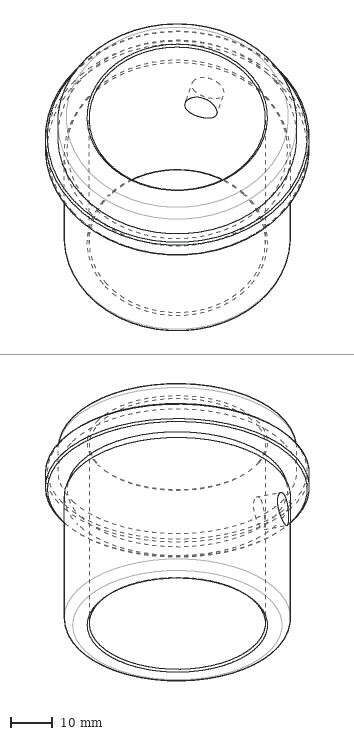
import cadquery as cq
import math

total_height = 51.0
body_height = 38.0
flange_thickness = 5.05

flange_diameter = 63.0
collar_diameter = 57.0
body_diameter = 54.0
bore_diameter = 42.0

edge_radius = 2.0
chamfer = 0.5
relief_depth = 0.7
relief_height = 2.0

side_hole_diameter = 8.0
side_hole_height = 27.0

flange_radius = flange_diameter / 2
collar_radius = collar_diameter / 2
body_radius = body_diameter / 2
bore_radius = bore_diameter / 2
neck_radius = body_radius - relief_depth
flange_top = body_height + flange_thickness
relief_bottom = body_height - relief_height

relief_arc_radius = (relief_height**2 + relief_depth**2) / (2 * relief_depth)
relief_mid_angle = math.asin(relief_height / relief_arc_radius) / 2
relief_mid = (
    neck_radius + relief_arc_radius * (1 - math.cos(relief_mid_angle)),
    body_height - relief_arc_radius * math.sin(relief_mid_angle),
)


def quarter_round_middle(center_r, center_z, z_direction):
    """Midpoint of an outer quarter round; z_direction is +1 upward or -1 downward."""
    offset = edge_radius * math.sqrt(0.5)
    return center_r + offset, center_z + z_direction * offset


def sleeve():
    """Revolve the wall section, with radius along X and height along the sketch's Y."""
    body_round = body_radius - edge_radius
    collar_round = collar_radius - edge_radius
    collar_round_bottom = total_height - edge_radius
    section = (
        cq.Workplane("XZ")
        .moveTo(bore_radius + chamfer, 0)
        .lineTo(body_round, 0)
        .threePointArc(quarter_round_middle(body_round, edge_radius, -1), (body_radius, edge_radius))
        .lineTo(body_radius, relief_bottom)
        .threePointArc(relief_mid, (neck_radius, body_height))
        .lineTo(flange_radius - chamfer, body_height)
        .lineTo(flange_radius, body_height + chamfer)
        .lineTo(flange_radius, flange_top - chamfer)
        .lineTo(flange_radius - chamfer, flange_top)
        .lineTo(collar_radius, flange_top)
        .lineTo(collar_radius, collar_round_bottom)
        .threePointArc(
            quarter_round_middle(collar_round, collar_round_bottom, 1),
            (collar_round, total_height),
        )
        .lineTo(bore_radius + chamfer, total_height)
        .lineTo(bore_radius, total_height - chamfer)
        .lineTo(bore_radius, chamfer)
        .close()
    )
    return section.revolve(360, (0, 0, 0), (0, 1, 0))


def side_hole():
    """Cylinder running from the axis outward along +Y."""
    return (
        cq.Workplane("XZ")
        .center(0, side_hole_height)
        .circle(side_hole_diameter / 2)
        .extrude(-flange_radius)
    )


result = sleeve().cut(side_hole())